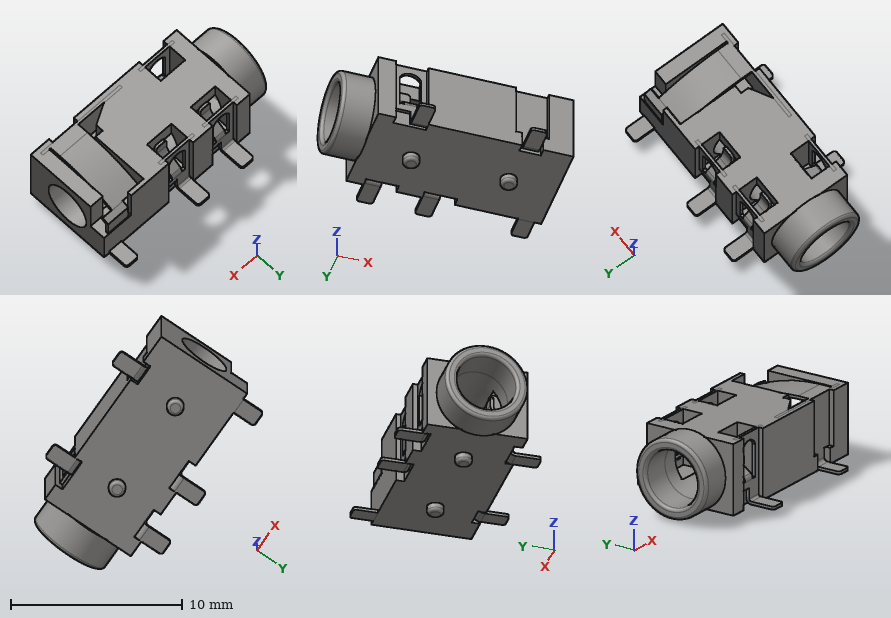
import cadquery as cq
import math

total_length = 14.0
barrel_length = 2.0
barrel_radius = 2.5
barrel_edge = 0.2
bore_front_radius = 1.8
bore_back_radius = 1.57
body_half_width = 3.05
body_half_height = 2.25
side_pocket_inner_y = 1.25
side_pocket_floor_z = -1.25

peg_radius = 0.5
peg_height = 0.49
peg_edge = 0.2
peg_positions = (5.0, 11.0)

sheet = 0.2
plate_outer_y = 2.75
plate_inner_y = plate_outer_y - sheet
plate_bottom_z = side_pocket_floor_z
foot_reach_y = 4.5
foot_width = 1.0
foot_corner = 0.2
foot_bend = 0.15

contact_x = 4.08
contact_pitch = 3.6
contact_plate_width = 2.8
contact_notch_width = 2 * foot_width
window_width = 1.32
window_bottom_z = -0.74
window_shoulder_z = 1.3
window_top_z = 1.76
tongue_width = 0.8
tongue_inner_y = 1.25
tongue_top_z = 1.33
tongue_bend_z = 0.74
tongue_bend_radius = 0.68
tongue_tilt = math.radians(54)
tongue_corner = 0.2

cavity_front_x = 10.46
cavity_back_x = 12.98
cavity_floor_z = 0.0
rear_block_side_y = 1.92
side_wall_end_x = 11.77
relief_floor_z = -0.2
relief_start_x = 8.46
relief_step_x = 9.87
relief_step_y = -1.78

spring_gap = 0.12
spring_front_x = cavity_front_x + spring_gap
spring_back_x = cavity_back_x - spring_gap
spring_flat_end_y = -1.8
spring_arch_radius = 10.25
spring_end_y = plate_inner_y
spring_plate_x = (6.99, 13.51)
spring_notch_x = (cavity_front_x, 12.49)
spring_leg_notch_x = (10.83, 12.15)
spring_foot_x = 10.94
spring_foot_bend = 0.24
tab_x = (11.97, 13.62)
tab_outer_y = 3.0
tab_foot_x = 12.58
tab_foot_bend = body_half_width - tab_outer_y


def box(x_range, y_range, z_range):
    """Box spanning the given ranges, each as (low, high)."""
    sizes = [high - low for low, high in (x_range, y_range, z_range)]
    corner = (x_range[0], y_range[0], z_range[0])
    return cq.Workplane("XY").box(*sizes, centered=False).translate(corner)


def on_side(shape, side):
    """Shapes are made on the +Y side; side -1 mirrors them to -Y."""
    return shape if side > 0 else shape.mirror("XZ")


def centred(middle, width):
    return (middle - width / 2, middle + width / 2)


def make_barrel():
    barrel = cq.Workplane("YZ").circle(barrel_radius).extrude(barrel_length)
    return barrel.faces("<X").edges().fillet(barrel_edge)


def make_bore():
    """Straight through the barrel with a rounded mouth, then tapering to the back."""
    mouth_radius = bore_front_radius + barrel_edge
    arc_reach = barrel_edge * (1 - math.sqrt(0.5))
    return (
        cq.Workplane("XY")
        .moveTo(0, 0)
        .lineTo(0, mouth_radius)
        .threePointArc((arc_reach, bore_front_radius + arc_reach), (barrel_edge, bore_front_radius))
        .lineTo(barrel_length, bore_front_radius)
        .lineTo(total_length, bore_back_radius)
        .lineTo(total_length, 0)
        .close()
        .revolve(360, (0, 0, 0), (1, 0, 0))
    )


def make_peg(x):
    peg = cq.Workplane("XY").circle(peg_radius).extrude(-peg_height)
    return peg.faces("<Z").edges().fillet(peg_edge).translate((x, 0, -body_half_height))


def contact_pocket(x, side):
    """Open-topped pocket behind the plate, and the full-height notch outside it."""
    x_range = centred(x, contact_notch_width)
    pocket = box(x_range, (side_pocket_inner_y, body_half_width), (side_pocket_floor_z, body_half_height))
    notch = box(x_range, (plate_inner_y, body_half_width), (-body_half_height, body_half_height))
    return on_side(pocket.union(notch), side)


def make_rear_cavity():
    main = box(
        (cavity_front_x, cavity_back_x),
        (-plate_inner_y, plate_outer_y),
        (cavity_floor_z, body_half_height),
    )
    side_opening = box(
        (side_wall_end_x, total_length),
        (rear_block_side_y, body_half_width),
        (cavity_floor_z, body_half_height),
    )
    relief = (
        cq.Workplane("XY", origin=(0, 0, relief_floor_z))
        .polyline(
            [
                (relief_start_x, -plate_inner_y),
                (relief_step_x, relief_step_y),
                (relief_step_x, -side_pocket_inner_y),
                (cavity_front_x, -side_pocket_inner_y),
                (cavity_front_x, -plate_inner_y),
            ]
        )
        .close()
        .extrude(body_half_height - relief_floor_z)
    )
    return main.union(side_opening).union(relief)


def make_spring_notch():
    """Recess outside the tip spring's plate, narrowing around its leg."""
    y_range = (plate_inner_y, body_half_width)
    upper = box(spring_notch_x, y_range, (plate_bottom_z, body_half_height))
    lower = box(spring_leg_notch_x, y_range, (-body_half_height, plate_bottom_z))
    return on_side(upper.union(lower), -1)


def make_leg(x_start, face_y, bend):
    """Leg hanging from a plate with outer face at face_y, bent out into a solder foot."""
    foot_top_z = -body_half_height + sheet
    outer_bend = bend + sheet
    profile = (
        cq.Workplane("YZ", origin=(x_start, 0, 0))
        .moveTo(face_y, plate_bottom_z)
        .lineTo(face_y, foot_top_z + bend)
        .radiusArc((face_y + bend, foot_top_z), -bend)
        .lineTo(foot_reach_y, foot_top_z)
        .lineTo(foot_reach_y, -body_half_height)
        .lineTo(face_y + bend, -body_half_height)
        .radiusArc((face_y - sheet, foot_top_z + bend), outer_bend)
        .lineTo(face_y - sheet, plate_bottom_z)
        .close()
    )
    return profile.extrude(foot_width).edges("|Z and >Y").fillet(foot_corner)


def polar(centre, radius, angle):
    return (centre[0] + radius * math.cos(angle), centre[1] + radius * math.sin(angle))


def make_tongue(x):
    """Spring tongue rising from the window sill, tilted inward, then upright in the bore."""
    upright_outer_y = tongue_inner_y + sheet
    upper = (upright_outer_y + tongue_bend_radius, tongue_bend_z)
    cos_tilt = math.cos(tongue_tilt)
    sin_tilt = math.sin(tongue_tilt)
    rise = tongue_bend_z - window_bottom_z
    offset = cos_tilt * (upper[0] - plate_outer_y) + rise * sin_tilt - tongue_bend_radius
    sill_radius = offset / (1 - cos_tilt)
    lower = (plate_outer_y - sill_radius, window_bottom_z)

    half_tilt = tongue_tilt / 2
    inner_bend = tongue_bend_radius + sheet
    inner_sill = sill_radius - sheet
    profile = (
        cq.Workplane("YZ", origin=(x - tongue_width / 2, 0, 0))
        .moveTo(upright_outer_y, tongue_top_z)
        .lineTo(*polar(upper, tongue_bend_radius, math.pi))
        .threePointArc(
            polar(upper, tongue_bend_radius, math.pi + half_tilt),
            polar(upper, tongue_bend_radius, math.pi + tongue_tilt),
        )
        .lineTo(*polar(lower, sill_radius, tongue_tilt))
        .threePointArc(polar(lower, sill_radius, half_tilt), polar(lower, sill_radius, 0))
        .lineTo(*polar(lower, inner_sill, 0))
        .threePointArc(polar(lower, inner_sill, half_tilt), polar(lower, inner_sill, tongue_tilt))
        .lineTo(*polar(upper, inner_bend, math.pi + tongue_tilt))
        .threePointArc(
            polar(upper, inner_bend, math.pi + half_tilt),
            polar(upper, inner_bend, math.pi),
        )
        .lineTo(tongue_inner_y, tongue_top_z)
        .close()
    )
    return profile.extrude(tongue_width).edges("|Y and >Z").fillet(tongue_corner)


def make_contact(x, foot_x, side):
    plate = box(
        centred(x, contact_plate_width),
        (plate_inner_y, plate_outer_y),
        (plate_bottom_z, body_half_height),
    )
    left, right = centred(x, window_width)
    window = (
        cq.Workplane("XZ")
        .moveTo(left, window_bottom_z)
        .lineTo(left, window_shoulder_z)
        .threePointArc((x, window_top_z), (right, window_shoulder_z))
        .lineTo(right, window_bottom_z)
        .close()
        .extrude(-body_half_width)
    )
    leg = make_leg(foot_x, plate_outer_y, foot_bend)
    contact = plate.cut(window).union(leg).union(make_tongue(x))
    return on_side(contact, side)


def arch_strip(x_range, start_y, end_y):
    """Stretch of the tip spring's arch, whose top leaves the body's top plane tangentially."""
    centre = (spring_flat_end_y, body_half_height - spring_arch_radius)
    start = math.acos((start_y - centre[0]) / spring_arch_radius)
    end = math.acos((end_y - centre[0]) / spring_arch_radius)
    middle = (start + end) / 2
    under_radius = spring_arch_radius - sheet
    return (
        cq.Workplane("YZ", origin=(x_range[0], 0, 0))
        .moveTo(*polar(centre, spring_arch_radius, start))
        .threePointArc(
            polar(centre, spring_arch_radius, middle),
            polar(centre, spring_arch_radius, end),
        )
        .lineTo(*polar(centre, under_radius, end))
        .threePointArc(polar(centre, under_radius, middle), polar(centre, under_radius, start))
        .close()
        .extrude(x_range[1] - x_range[0])
    )


def make_tip_spring():
    spring_x = (spring_front_x, spring_back_x)
    plate = box(spring_plate_x, (-plate_outer_y, -plate_inner_y), (plate_bottom_z, body_half_height))
    flat = box(
        spring_x,
        (-plate_outer_y, spring_flat_end_y),
        (body_half_height - sheet, body_half_height),
    )
    arch = arch_strip(spring_x, spring_flat_end_y, spring_end_y)
    leg = on_side(make_leg(spring_foot_x, plate_outer_y, spring_foot_bend), -1)
    return plate.union(flat).union(arch).union(leg)


def make_switch_terminal():
    """Terminal whose sloped tab carries the free end of the tip spring."""
    tab = arch_strip(tab_x, spring_end_y, tab_outer_y)
    tab_edge_rise = math.sqrt(spring_arch_radius**2 - (tab_outer_y - spring_flat_end_y) ** 2)
    tab_edge_z = body_half_height - spring_arch_radius + tab_edge_rise
    plate = box(tab_x, (tab_outer_y - sheet, tab_outer_y), (plate_bottom_z, tab_edge_z))
    leg = make_leg(tab_foot_x, tab_outer_y, tab_foot_bend)
    return tab.union(plate).union(leg)


contacts = (
    (contact_x, contact_x - foot_width, 1),
    (contact_x + contact_pitch, contact_x + contact_pitch - foot_width, 1),
    (contact_x, contact_x, -1),
)

housing = box(
    (barrel_length, total_length),
    (-body_half_width, body_half_width),
    (-body_half_height, body_half_height),
)
housing = housing.union(make_barrel()).cut(make_bore())
for plate_x, foot_x, side in contacts:
    housing = housing.cut(contact_pocket(plate_x, side))
housing = housing.cut(make_rear_cavity()).cut(make_spring_notch())
for peg_x in peg_positions:
    housing = housing.union(make_peg(peg_x))

metal_parts = [make_contact(plate_x, foot_x, side) for plate_x, foot_x, side in contacts]
metal_parts += [make_tip_spring(), make_switch_terminal()]
result = housing
for metal in metal_parts:
    result = result.cut(metal, clean=False).union(metal, clean=False)